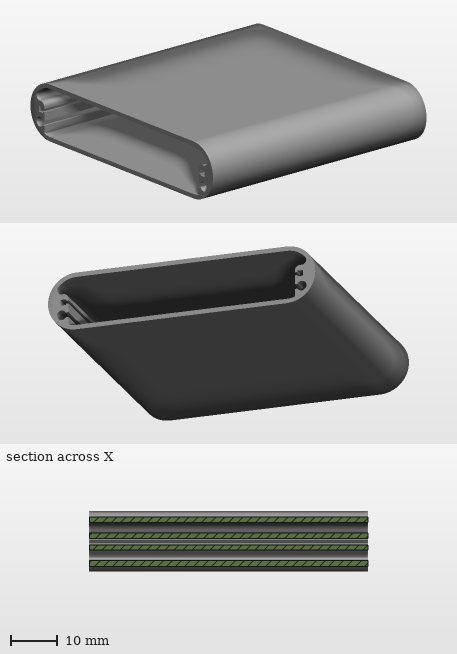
import cadquery as cq
import math

WIDTH = 61.0
LENGTH = 60.0
HEIGHT = 13.0
WALL = 1.0

CAVITY_WIDTH = WIDTH - 2 * WALL
CAVITY_HEIGHT = HEIGHT - 2 * WALL

RAIL_FACE_X = 25.85
SHELF_Z = 1.9
SHELF_ROUND = 1.1

SCREW_RADIUS = 1.1
SCREW_X = 27.4
SCREW_Z = -2.9
SCREW_MOUTH = 1.1

ROOT_RADIUS = 1.0
ROOT_Z = SHELF_Z + ROOT_RADIUS
END_CENTRE_X = (WIDTH - HEIGHT) / 2
ROOT_ANGLE = math.asin(ROOT_Z / (CAVITY_HEIGHT / 2 - ROOT_RADIUS))
ROOT_X = END_CENTRE_X + ROOT_Z / math.tan(ROOT_ANGLE)
TOUCH_X = END_CENTRE_X + CAVITY_HEIGHT / 2 * math.cos(ROOT_ANGLE)
TOUCH_Z = CAVITY_HEIGHT / 2 * math.sin(ROOT_ANGLE)

SLOT_HEIGHT = 1.3
SLOT_BOTTOM_X = 27.7
LIP_THICKNESS = 0.5
SLOT_MOUTH = 0.7


def extrude(sketch):
    """Extrude an XZ profile over the full length, centred on Y."""
    return sketch.extrude(LENGTH / 2, both=True)


def stadium(width, height):
    return extrude(cq.Workplane("XZ").slot2D(width, height))


def bar(x_min, x_max, z_min, z_max):
    """Full-length rectangular bar between the given X and Z limits."""
    profile = cq.Workplane("XZ").moveTo(x_min, z_min).lineTo(x_max, z_min)
    return extrude(profile.lineTo(x_max, z_max).lineTo(x_min, z_max).close())


def screw_channel():
    return extrude(cq.Workplane("XZ").center(SCREW_X, SCREW_Z).circle(SCREW_RADIUS))


def root_fill():
    """Material beyond the root groove, where it curves from the shelf into the cavity end."""
    profile = cq.Workplane("XZ").moveTo(ROOT_X, SHELF_Z)
    mid_angle = (ROOT_ANGLE - math.pi / 2) / 2
    mid_x = ROOT_X + ROOT_RADIUS * math.cos(mid_angle)
    mid_z = ROOT_Z + ROOT_RADIUS * math.sin(mid_angle)
    profile = profile.threePointArc((mid_x, mid_z), (TOUCH_X, TOUCH_Z))
    return extrude(profile.lineTo(WIDTH / 2, TOUCH_Z).lineTo(WIDTH / 2, SHELF_Z).close())


def rail():
    """Rail on the +X side with its screw channel and undercut slot."""
    block = bar(RAIL_FACE_X, WIDTH / 2, -HEIGHT / 2, SHELF_Z)
    block = block.edges("|Y and <X and >Z").fillet(SHELF_ROUND)
    body = block.union(root_fill()).intersect(stadium(WIDTH, HEIGHT))

    half_screw_mouth = SCREW_MOUTH / 2
    cutters = [
        screw_channel(),
        bar(RAIL_FACE_X, SCREW_X, SCREW_Z - half_screw_mouth, SCREW_Z + half_screw_mouth),
        bar(RAIL_FACE_X + LIP_THICKNESS, SLOT_BOTTOM_X, -SLOT_HEIGHT / 2, SLOT_HEIGHT / 2),
        bar(RAIL_FACE_X, SLOT_BOTTOM_X, -SLOT_MOUTH / 2, SLOT_MOUTH / 2),
    ]
    for cutter in cutters:
        body = body.cut(cutter)
    return body


skin = stadium(WIDTH, HEIGHT).cut(stadium(CAVITY_WIDTH, CAVITY_HEIGHT))
right_rail = rail()
result = skin.union(right_rail).union(right_rail.mirror("YZ"))